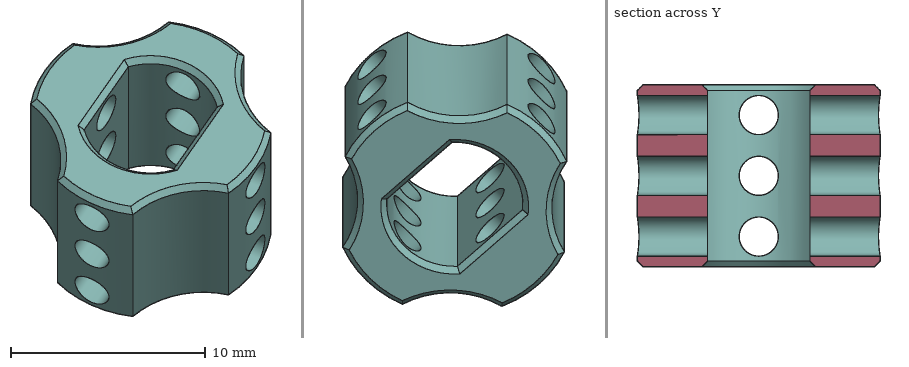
import cadquery as cq
import math

grid_unit = 12.5
outer_diameter = grid_unit
hole_pitch = grid_unit / 4
hole_rows = 3
height = hole_rows * hole_pitch
edge_chamfer = 0.3

scallop_radius = 5.0
scallop_floor = 5.0
scallop_offset = (scallop_floor + scallop_radius) / math.sqrt(2)

bore_diameter = 7.0
bore_flat_width = 5.25

hole_diameter = 2.0
hole_levels = [(row - (hole_rows - 1) / 2) * hole_pitch for row in range(hole_rows)]


def make_knob_body():
    """Cylinder with four concave scallops on the diagonals."""
    scallop_centres = [
        (x_side * scallop_offset, y_side * scallop_offset)
        for x_side in (-1, 1)
        for y_side in (-1, 1)
    ]
    scallops = (
        cq.Workplane("XY")
        .pushPoints(scallop_centres)
        .circle(scallop_radius)
        .extrude(height / 2, both=True)
    )
    cylinder = cq.Workplane("XY").circle(outer_diameter / 2).extrude(height / 2, both=True)
    return cylinder.cut(scallops)


def make_bore():
    """Double-flat bore along Z through the full height."""
    bore = cq.Workplane("XY").circle(bore_diameter / 2).extrude(height / 2, both=True)
    flats = cq.Workplane("XY").box(bore_flat_width, bore_diameter, height)
    return bore.intersect(flats)


def make_cross_holes():
    """Rows of through holes along X and along Y."""
    hole_centres = [(0, level) for level in hole_levels]
    holes = cq.Workplane("XY")
    for plane in ("XZ", "YZ"):
        row = (
            cq.Workplane(plane)
            .pushPoints(hole_centres)
            .circle(hole_diameter / 2)
            .extrude(outer_diameter / 2, both=True)
        )
        holes = holes.add(row)
    return holes.combine()


body = make_knob_body().cut(make_bore())
body = body.faces("<Z or >Z").chamfer(edge_chamfer)
result = body.cut(make_cross_holes())